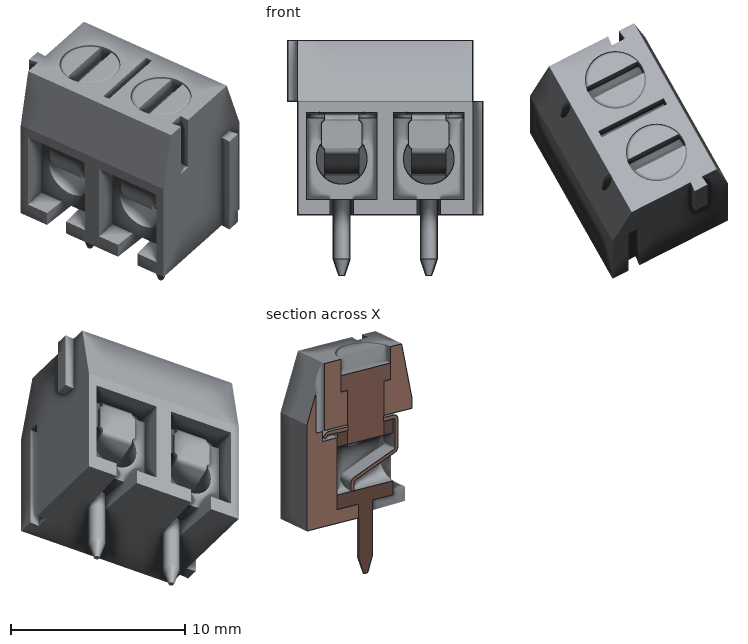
import cadquery as cq
import math


OVERALL_WIDTH = 11.2
HOUSING_WIDTH = 10.05
HOUSING_HEIGHT = 10.0
FRONT_Y = -3.31
BACK_Y = 4.2
SHOULDER_Z = 6.51
FRONT_TOP_INSET = 0.74
BACK_TOP_INSET = 1.24
POLE_PITCH = 5.0
POLES = 2
POLE_X = [(i - (POLES - 1) / 2) * POLE_PITCH for i in range(POLES)]

KEY_REACH = (OVERALL_WIDTH - HOUSING_WIDTH) / 2
KEY_TIP_WIDTH = 0.85
KEY_ROOT_WIDTH = 0.72
UPPER_KEY_Y = -1.24
LOWER_KEY_Y = 2.82

POCKET_WIDTH = 4.02
POCKET_FLOOR_Z = 0.88
POCKET_CEILING_Z = 5.87
TOP_GROOVE_WIDTH = 0.42
TOP_GROOVE_LENGTH = 4.25
TOP_GROOVE_Y = 0.2
TOP_GROOVE_DEPTH = 1.0
PROBE_HOLE_RADIUS = 0.3
PROBE_HOLE_Y = 3.24
PIN_SLOT_MOUTH = 1.35

BLOCK_FRONT_Y = -1.97
BLOCK_BACK_Y = POCKET_WIDTH / 2
BLOCK_TOP_Z = 5.55
BORE_RADIUS = 1.46
BORE_Z = 3.21
PIN_RADIUS = 0.49
PIN_LENGTH = 3.5
PIN_TIP_LENGTH = 0.97
PIN_TIP_RADIUS = 0.16

HEAD_RADIUS = 1.74
HEAD_LENGTH = 2.0
HEAD_ROUNDING = 0.19
SHANK_RADIUS = 1.27
DRIVE_SLOT_WIDTH = 0.78
DRIVE_SLOT_DEPTH = 1.0
HEAD_BOTTOM_Z = HOUSING_HEIGHT - HEAD_LENGTH
SHANK_END_Z = BORE_Z + BORE_RADIUS

SHEET = 0.23
BEND_INNER_RADIUS = 0.11
BEND_RADIUS = BEND_INNER_RADIUS + SHEET / 2
BEND_OUTER_RADIUS = BEND_INNER_RADIUS + SHEET
PLATE_MID_Z = BLOCK_TOP_Z + SHEET / 2
PLATE_FRONT_Y = BLOCK_FRONT_Y
PLATE_BACK_Y = 1.96
PLATE_WIDTH = 3.94
PLATE_CORNER_RADIUS = 0.85
FACE_WIDTH = 2.34
FACE_TOP_Z = BLOCK_TOP_Z + SHEET - BEND_OUTER_RADIUS
FACE_BOTTOM_Z = 3.77
STRIP_WIDTH = 1.96
FACE_CHAMFER = (FACE_WIDTH - STRIP_WIDTH) / 2
TONGUE_ANGLE = 69
TONGUE_LENGTH = 3.05
TAIL_ANGLE = 45
TAIL_LENGTH = 0.24
TAIL_BEND_Y = 2.63
TAIL_END_Y = 3.05
TAIL_SLOT_FLOOR_Z = 5.26


def box_between(x0, x1, y0, y1, z0, z1):
    return cq.Workplane("XY").box(x1 - x0, y1 - y0, z1 - z0, centered=False).translate((x0, y0, z0))


def upright_cylinder(x, y, radius, z0, z1):
    return cq.Workplane("XY", origin=(x, y, z0)).circle(radius).extrude(z1 - z0)



def housing_body():
    outline = [
        (FRONT_Y, 0),
        (BACK_Y, 0),
        (BACK_Y, SHOULDER_Z),
        (BACK_Y - BACK_TOP_INSET, HOUSING_HEIGHT),
        (FRONT_Y + FRONT_TOP_INSET, HOUSING_HEIGHT),
        (FRONT_Y, SHOULDER_Z),
    ]
    return cq.Workplane("YZ").polyline(outline).close().extrude(HOUSING_WIDTH / 2, both=True)


def dovetail(root_x, y, z0, z1):
    """Dovetail reaching from its narrow root at root_x to a wider tip in the -X direction."""
    tip_x = root_x - KEY_REACH
    outline = [
        (root_x, y - KEY_ROOT_WIDTH / 2),
        (tip_x, y - KEY_TIP_WIDTH / 2),
        (tip_x, y + KEY_TIP_WIDTH / 2),
        (root_x, y + KEY_ROOT_WIDTH / 2),
    ]
    return cq.Workplane("XY", origin=(0, 0, z0)).polyline(outline).close().extrude(z1 - z0)


def pole_openings(x):
    half = POCKET_WIDTH / 2
    pocket = box_between(x - half, x + half, FRONT_Y, BLOCK_BACK_Y, POCKET_FLOOR_Z, POCKET_CEILING_Z)
    tail_slot = box_between(
        x - STRIP_WIDTH / 2, x + STRIP_WIDTH / 2, 0, TAIL_END_Y, TAIL_SLOT_FLOOR_Z, POCKET_CEILING_Z
    )
    head_hole = upright_cylinder(x, 0, HEAD_RADIUS, HEAD_BOTTOM_Z, HOUSING_HEIGHT)
    shank_hole = upright_cylinder(x, 0, SHANK_RADIUS, POCKET_CEILING_Z, HEAD_BOTTOM_Z)
    probe_hole = upright_cylinder(x, PROBE_HOLE_Y, PROBE_HOLE_RADIUS, POCKET_CEILING_Z, HOUSING_HEIGHT)
    return pocket.union(tail_slot).union(head_hole).union(shank_hole).union(probe_hole).union(pin_slot(x))


def pin_slot(x):
    """Slot in the pocket floor that narrows from the front to a round end on the pin."""
    mouth = PIN_SLOT_MOUTH / 2
    return (
        cq.Workplane("XY")
        .moveTo(x - mouth, FRONT_Y)
        .lineTo(x - PIN_RADIUS, 0)
        .threePointArc((x, PIN_RADIUS), (x + PIN_RADIUS, 0))
        .lineTo(x + mouth, FRONT_Y)
        .close()
        .extrude(POCKET_FLOOR_Z)
    )


def make_housing():
    side = HOUSING_WIDTH / 2
    upper = (UPPER_KEY_Y, SHOULDER_Z, HOUSING_HEIGHT)
    lower = (LOWER_KEY_Y, 0, SHOULDER_Z)
    body = housing_body()
    body = body.union(dovetail(-side, *upper))
    body = body.cut(dovetail(side, *upper))
    lower_key = dovetail(-side, *lower).mirror("YZ")
    lower_groove = dovetail(side, *lower).mirror("YZ")
    body = body.union(lower_key).cut(lower_groove)
    groove_half = TOP_GROOVE_LENGTH / 2
    body = body.cut(box_between(
        -TOP_GROOVE_WIDTH / 2, TOP_GROOVE_WIDTH / 2,
        TOP_GROOVE_Y - groove_half, TOP_GROOVE_Y + groove_half,
        HOUSING_HEIGHT - TOP_GROOVE_DEPTH, HOUSING_HEIGHT,
    ))
    for x in POLE_X:
        body = body.cut(pole_openings(x))
    return body



def wire_bore():
    length = BLOCK_BACK_Y - BLOCK_FRONT_Y
    return cq.Workplane("XZ", origin=(0, BLOCK_FRONT_Y, BORE_Z)).circle(BORE_RADIUS).extrude(-length)


def make_terminal():
    half = POCKET_WIDTH / 2
    block = box_between(-half, half, BLOCK_FRONT_Y, BLOCK_BACK_Y, POCKET_FLOOR_Z, BLOCK_TOP_Z)
    screw_hole = upright_cylinder(0, 0, SHANK_RADIUS, SHANK_END_Z - BORE_RADIUS, BLOCK_TOP_Z)
    pin_outline = [
        (0, POCKET_FLOOR_Z),
        (PIN_RADIUS, POCKET_FLOOR_Z),
        (PIN_RADIUS, PIN_TIP_LENGTH - PIN_LENGTH),
        (PIN_TIP_RADIUS, -PIN_LENGTH),
        (0, -PIN_LENGTH),
    ]
    pin = cq.Workplane("XZ").polyline(pin_outline).close().revolve(360, (0, 0), (0, 1))
    return block.cut(wire_bore()).cut(screw_hole).union(pin)


def make_screw():
    head = upright_cylinder(0, 0, HEAD_RADIUS, HEAD_BOTTOM_Z, HOUSING_HEIGHT)
    head = head.faces(">Z").edges().fillet(HEAD_ROUNDING)
    drive_slot = cq.Workplane("XY").box(
        DRIVE_SLOT_WIDTH, 2 * HEAD_RADIUS, DRIVE_SLOT_DEPTH, centered=(True, True, False)
    ).translate((0, 0, HOUSING_HEIGHT - DRIVE_SLOT_DEPTH))
    shank = upright_cylinder(0, 0, SHANK_RADIUS, SHANK_END_Z, HEAD_BOTTOM_Z)
    return head.cut(drive_slot).union(shank)


def bend(path, start, heading, turn):
    """Add an arc of the bend radius to a YZ path; return the path, its end and its new heading."""
    side = math.copysign(90, turn)
    to_centre = math.radians(heading + side)
    centre = (start[0] + BEND_RADIUS * math.cos(to_centre), start[1] + BEND_RADIUS * math.sin(to_centre))

    def arc_point(turned):
        angle = math.radians(heading - side + turned)
        return (centre[0] + BEND_RADIUS * math.cos(angle), centre[1] + BEND_RADIUS * math.sin(angle))

    end = arc_point(turn)
    return path.threePointArc(arc_point(turn / 2), end), end, heading + turn


def straight(path, start, heading, length):
    angle = math.radians(heading)
    end = (start[0] + length * math.cos(angle), start[1] + length * math.sin(angle))
    return path.lineTo(*end), end


def front_strip():
    """Sheet from the middle of the plate, down the front face and back along the tongue."""
    start = (0, PLATE_MID_Z)
    path = cq.Workplane("YZ").moveTo(*start)
    path, end = straight(path, start, 180, -PLATE_FRONT_Y)
    path, end, heading = bend(path, end, 180, 90)
    path, end = straight(path, end, heading, FACE_TOP_Z - FACE_BOTTOM_Z)
    path, end, heading = bend(path, end, heading, TONGUE_ANGLE)
    path, end = straight(path, end, heading, TONGUE_LENGTH)
    path, end, heading = bend(path, end, heading, -TONGUE_ANGLE)
    path, end = straight(path, end, heading, BORE_RADIUS)
    return cq.Workplane("XZ", origin=(0, 0, PLATE_MID_Z)).rect(FACE_WIDTH, SHEET).sweep(path)


def tail_strip():
    """Sheet from the middle of the plate to its sloping tail at the back."""
    start = (0, PLATE_MID_Z)
    path = cq.Workplane("YZ").moveTo(*start)
    path, end = straight(path, start, 0, TAIL_BEND_Y)
    path, end, heading = bend(path, end, 0, -TAIL_ANGLE)
    path, end = straight(path, end, heading, TAIL_LENGTH)
    return cq.Workplane("XZ", origin=(0, 0, PLATE_MID_Z)).rect(STRIP_WIDTH, SHEET).sweep(path)


def strip_outline():
    """Wide chamfered face, narrow above it, and trimmed to the bore below the bore axis."""
    face_height = FACE_TOP_Z - FACE_BOTTOM_Z
    reach = BACK_Y - FRONT_Y
    face = cq.Workplane("XY").box(FACE_WIDTH, reach, face_height, centered=(True, True, False))
    face = face.edges("|Y").chamfer(FACE_CHAMFER).translate((0, 0, FACE_BOTTOM_Z))
    half = STRIP_WIDTH / 2
    narrow = box_between(-half, half, -reach / 2, reach / 2, BORE_Z, HOUSING_HEIGHT)
    bore = cq.Workplane("XZ", origin=(0, 0, BORE_Z)).circle(BORE_RADIUS).extrude(reach / 2, both=True)
    low = box_between(-half, half, -reach / 2, reach / 2, 0, BORE_Z).intersect(bore)
    return face.union(narrow).union(low)


def make_wire_guard():
    plate = box_between(
        -PLATE_WIDTH / 2, PLATE_WIDTH / 2, PLATE_FRONT_Y, PLATE_BACK_Y, BLOCK_TOP_Z, BLOCK_TOP_Z + SHEET
    )
    plate = plate.edges("|Z").fillet(PLATE_CORNER_RADIUS)
    screw_hole = upright_cylinder(0, 0, SHANK_RADIUS, BLOCK_TOP_Z, BLOCK_TOP_Z + SHEET)
    strip = front_strip().intersect(strip_outline())
    return plate.union(strip).union(tail_strip()).cut(screw_hole)



def one_per_pole(part):
    return [part.solids().val().translate((x, 0, 0)) for x in POLE_X]


housing = make_housing()
terminals = one_per_pole(make_terminal())
screws = one_per_pole(make_screw())
wire_guards = one_per_pole(make_wire_guard())

result = cq.Compound.makeCompound([housing.solids().val(), *terminals, *screws, *wire_guards])